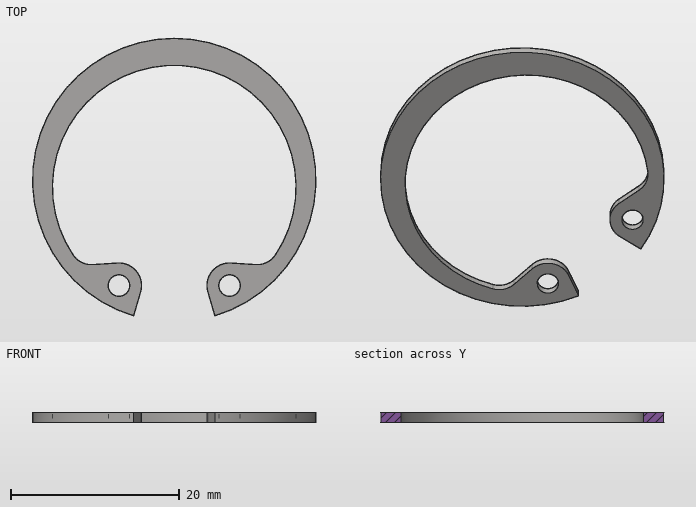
import cadquery as cq
import math

thickness = 1.2
outer_radius = 16.85
bore_radius = 14.45
bore_offset = 0.85
hole_x = 6.57
hole_y = -12.55
hole_diameter = 2.53
lug_radius = 2.7
tip_x = 4.82
shoulder_angle = math.radians(3.6)
root_radius = 2.55

hole_center = cq.Vector(hole_x, hole_y)
bore_center = cq.Vector(0, -bore_offset)


def polar(center, radius, angle):
    """Point on a circle at the given angle in radians."""
    return center + cq.Vector(math.cos(angle), math.sin(angle)) * radius


def angle_of(vector):
    return math.atan2(vector.y, vector.x)


def mid_arc(center, radius, start, end):
    """Middle point of the shorter arc between two points on a circle."""
    return center + ((start - center) + (end - center)).normalized() * radius


shoulder_direction = cq.Vector(math.cos(shoulder_angle), -math.sin(shoulder_angle))
shoulder_normal = cq.Vector(math.sin(shoulder_angle), math.cos(shoulder_angle))
lug_shoulder = hole_center + shoulder_normal * lug_radius

offset_start = lug_shoulder + shoulder_normal * root_radius - bore_center
along = offset_start.dot(shoulder_direction)
across = offset_start.dot(shoulder_normal)
shoulder_length = math.sqrt((bore_radius - root_radius) ** 2 - across**2) - along
root_shoulder = lug_shoulder + shoulder_direction * shoulder_length
root_center = root_shoulder + shoulder_normal * root_radius
root_angle = angle_of(root_center - bore_center)
root_bore = polar(bore_center, bore_radius, root_angle)

tip = cq.Vector(tip_x, -math.sqrt(outer_radius**2 - tip_x**2))
to_tip = tip - hole_center
lug_end_angle = angle_of(to_tip) - math.acos(lug_radius / to_tip.Length)
lug_end = polar(hole_center, lug_radius, lug_end_angle)

lug_middle = mid_arc(hole_center, lug_radius, lug_end, lug_shoulder)
root_middle = mid_arc(root_center, root_radius, root_shoulder, root_bore)
bore_top = bore_center + cq.Vector(0, bore_radius)


def mirrored(point):
    """Matching point on the other side of the gap."""
    return cq.Vector(-point.x, point.y)


outline = (
    cq.Workplane("XY")
    .moveTo(tip.x, tip.y)
    .threePointArc((0, outer_radius), mirrored(tip))
    .lineTo(-lug_end.x, lug_end.y)
    .threePointArc(mirrored(lug_middle), mirrored(lug_shoulder))
    .lineTo(-root_shoulder.x, root_shoulder.y)
    .threePointArc(mirrored(root_middle), mirrored(root_bore))
    .threePointArc(bore_top, root_bore)
    .threePointArc(root_middle, root_shoulder)
    .lineTo(lug_shoulder.x, lug_shoulder.y)
    .threePointArc(lug_middle, lug_end)
    .close()
)
plier_holes = (
    cq.Workplane("XY")
    .pushPoints([hole_center, mirrored(hole_center)])
    .circle(hole_diameter / 2)
    .extrude(thickness)
)

result = outline.extrude(thickness).cut(plier_holes)